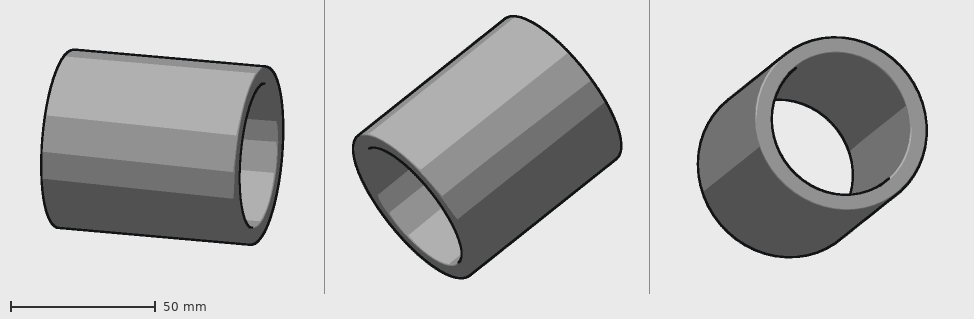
import cadquery as cq

length = 70.0
outer_diameter = 62.0
bore_diameter = 50.0
edge_radius = 0.8

sleeve = (
    cq.Workplane("YZ", origin=(-length / 2, 0, 0))
    .circle(outer_diameter / 2)
    .circle(bore_diameter / 2)
    .extrude(length)
)

result = sleeve.faces("<X or >X").edges().fillet(edge_radius)